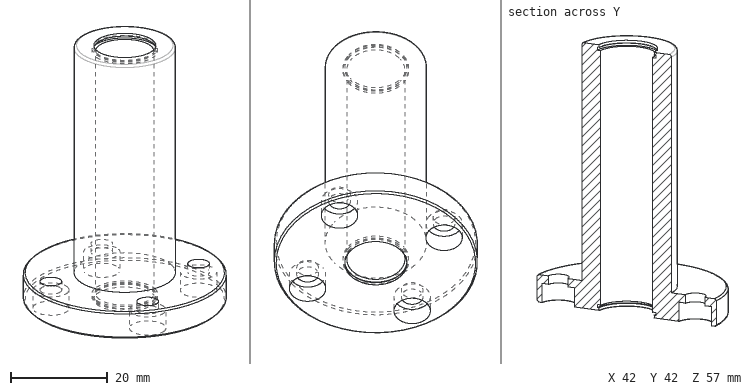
import cadquery as cq

total_height = 57.0
flange_diameter = 42.0
flange_thickness = 6.0
sleeve_diameter = 21.0
flange_chamfer = 0.4
sleeve_fillet = 0.5

bore_diameter = 12.0
recess_diameter = 12.8
recess_depth = 1.2
groove_diameter = 13.6
groove_width = 0.55

bolt_count = 4
bolt_circle_diameter = 32.0
bolt_diameter = 4.5
bolt_head_diameter = 7.5
bolt_head_depth = 4.1


def chamfered_disc(diameter, height):
    disc = cq.Workplane("XY").circle(diameter / 2).extrude(height)
    return disc.faces("<Z or >Z").chamfer(flange_chamfer)


def cylinder(diameter, bottom, height):
    return cq.Workplane("XY").workplane(offset=bottom).circle(diameter / 2).extrude(height)


def bolt_pattern(diameter, depth):
    return (
        cq.Workplane("XY")
        .polarArray(bolt_circle_diameter / 2, 0, 360, bolt_count)
        .circle(diameter / 2)
        .extrude(depth)
    )


flange = chamfered_disc(flange_diameter, flange_thickness)
sleeve = cylinder(sleeve_diameter, 0, total_height).faces(">Z").fillet(sleeve_fillet)
body = flange.union(sleeve)

body = body.cut(cylinder(bore_diameter, 0, total_height))
for recess_bottom in (0, total_height - recess_depth):
    body = body.cut(cylinder(recess_diameter, recess_bottom, recess_depth))
for groove_bottom in (recess_depth - groove_width, total_height - recess_depth):
    body = body.cut(cylinder(groove_diameter, groove_bottom, groove_width))

body = body.cut(bolt_pattern(bolt_diameter, flange_thickness))
body = body.cut(bolt_pattern(bolt_head_diameter, bolt_head_depth))

result = body